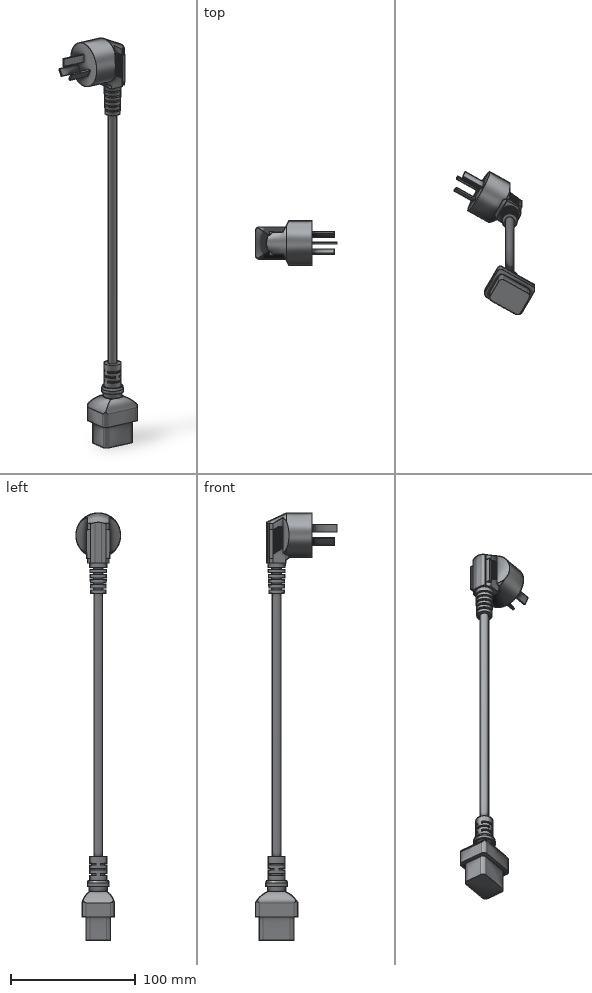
import cadquery as cq
import math

TOTAL_HEIGHT = 343.0
CABLE_DIAMETER = 7.1

BLOCK_X = 28.0
BLOCK_Y = 20.0
FLANGE_X = 34.0
FLANGE_Y = 26.0
CORNER_RADIUS = 3.2
BLOCK_TOP = 18.8
FLANGE_TOP = 28.3
DOME_TOP = 39.3
DOME_TOP_WIDTH = 13.5
DOME_EDGE_RISE = 1.8
DOME_BULGE = 0.8
NECK_DIAMETER = 15.0
COLLAR_DIAMETER = 17.6
COLLAR_STEP_DIAMETER = 16.2
COLLAR_BOTTOM = 43.3
COLLAR_TOP = 46.0
COLLAR_STEP_TOP = 48.0
CONNECTOR_BOOT_DIAMETER = 13.8
CONNECTOR_TOP = 67.3

GROOVE_PITCH = 4.1
GROOVE_WIDTH = 1.4
GROOVE_CLEARANCE = 1.0
CONNECTOR_GROOVE_DEPTH = 1.6
BRIDGE_WIDTH = 4.0
CONNECTOR_GROOVE_COUNT = 3
CONNECTOR_FIRST_GROOVE = CONNECTOR_TOP - 14.4

HEAD_RADIUS = 18.0
HEAD_Z = TOTAL_HEIGHT - HEAD_RADIUS
HEAD_FACE_X = 28.5
HEAD_CONE_X = 8.0
BACK_X = -8.0
BACK_RADIUS = 10.5
SHOULDER_OUTER_X = 9.9
SHOULDER_INNER_X = 5.1

SPINE_FLAT_HALF_WIDTH = 2.6
SPINE_HALF_WIDTH = 6.2
SPINE_EDGE = 0.9
RIB_BACK_X = -5.8
RIB_FRONT_X = -3.1
RIB_HALF_WIDTH = 9.4
RIB_BOTTOM = 306.5
RIB_TOP = 329.5
GRIP_HALF_WIDTH = 8.8
GRIP_BOTTOM = 302.7
FOOT_FRONT_X = 7.4
FOOT_FRONT_TOP = 305.0
FOOT_HEAD_X = 10.0
FOOT_HEAD_Z = 314.0
FOOT_CORNER_RADIUS = 3.0

PANEL_BACK_X = -2.6
PANEL_BACK_BOTTOM = 310.0
PANEL_BACK_TOP = 329.5
PANEL_PEAK_X = 1.5
PANEL_FRONT_BOTTOM = 314.8
PANEL_FRONT_TOP = 332.0
RIDGE_PITCH = 1.0
RIDGE_GROOVE_WIDTH = 0.5
RIDGE_DEPTH = 0.4

PLUG_BOOT_TOP_DIAMETER = 14.0
PLUG_BOOT_END_DIAMETER = 12.2
PLUG_BOOT_BOTTOM = 278.3
PLUG_GROOVE_COUNT = 5
PLUG_GROOVE_ROOT_DIAMETER = 8.0
PLUG_FIRST_GROOVE = 282.0

PIN_WIDTH = 6.3
PIN_THICKNESS = 1.6
EARTH_PIN_TIP_X = 48.5
EARTH_PIN_Z = 330.6
POWER_PIN_TIP_X = 46.4
POWER_PIN_Y = 6.9
POWER_PIN_Z = 320.0
POWER_PIN_TILT = 30.0


def rounded_block(size_x, size_y, bottom, top):
    block = cq.Workplane("XY").workplane(offset=bottom).rect(size_x, size_y).extrude(top - bottom)
    return block.edges("|Z").fillet(CORNER_RADIUS)


def dome_prism(plane, width, depth):
    """Prism with bulging flanks that narrow from the flange to the neck."""
    half = width / 2
    half_top = DOME_TOP_WIDTH / 2
    edge_z = FLANGE_TOP + DOME_EDGE_RISE
    middle_half = (half + half_top) / 2 + DOME_BULGE
    middle_z = (edge_z + DOME_TOP) / 2 + DOME_BULGE
    return (
        cq.Workplane(plane)
        .moveTo(-half, FLANGE_TOP)
        .lineTo(half, FLANGE_TOP)
        .lineTo(half, edge_z)
        .threePointArc((middle_half, middle_z), (half_top, DOME_TOP))
        .lineTo(-half_top, DOME_TOP)
        .threePointArc((-middle_half, middle_z), (-half, edge_z))
        .close()
        .extrude(depth / 2, both=True)
    )


def ring_groove(z, boot_radius, root_radius):
    """Ring centred at z that cuts a boot down to the root radius."""
    return (
        cq.Workplane("XY")
        .workplane(offset=z - GROOVE_WIDTH / 2)
        .circle(boot_radius + GROOVE_CLEARANCE)
        .circle(root_radius)
        .extrude(GROOVE_WIDTH)
    )


def bridged_groove(z, bridge_along_x):
    """Connector groove at z, left uncut by a bridge on two opposite sides."""
    boot_radius = CONNECTOR_BOOT_DIAMETER / 2
    length = 2 * (boot_radius + GROOVE_CLEARANCE)
    bridge_size = (length, BRIDGE_WIDTH) if bridge_along_x else (BRIDGE_WIDTH, length)
    bridge = cq.Workplane("XY").box(*bridge_size, GROOVE_WIDTH).translate((0, 0, z))
    return ring_groove(z, boot_radius, boot_radius - CONNECTOR_GROOVE_DEPTH).cut(bridge)


def make_connector():
    block = rounded_block(BLOCK_X, BLOCK_Y, 0, BLOCK_TOP)
    flange = rounded_block(FLANGE_X, FLANGE_Y, BLOCK_TOP, FLANGE_TOP)
    dome = (
        dome_prism("XZ", FLANGE_X, FLANGE_Y)
        .intersect(dome_prism("YZ", FLANGE_Y, FLANGE_X))
        .intersect(rounded_block(FLANGE_X, FLANGE_Y, FLANGE_TOP, DOME_TOP))
    )
    stem = (
        cq.Workplane("XZ")
        .moveTo(0, FLANGE_TOP)
        .lineTo(DOME_TOP_WIDTH / 2, FLANGE_TOP)
        .lineTo(DOME_TOP_WIDTH / 2, DOME_TOP)
        .lineTo(NECK_DIAMETER / 2, DOME_TOP)
        .lineTo(NECK_DIAMETER / 2, COLLAR_BOTTOM)
        .lineTo(COLLAR_DIAMETER / 2, COLLAR_BOTTOM)
        .lineTo(COLLAR_DIAMETER / 2, COLLAR_TOP)
        .lineTo(COLLAR_STEP_DIAMETER / 2, COLLAR_STEP_TOP)
        .lineTo(CONNECTOR_BOOT_DIAMETER / 2, COLLAR_STEP_TOP)
        .lineTo(CONNECTOR_BOOT_DIAMETER / 2, CONNECTOR_TOP)
        .lineTo(0, CONNECTOR_TOP)
        .close()
        .revolve(360, (0, 0, 0), (0, 1, 0))
    )
    connector = block.union(flange).union(dome).union(stem)
    for index in range(CONNECTOR_GROOVE_COUNT):
        z = CONNECTOR_FIRST_GROOVE + index * GROOVE_PITCH
        connector = connector.cut(bridged_groove(z, index % 2 == 0))
    return connector


def make_cable():
    return (
        cq.Workplane("XY")
        .workplane(offset=CONNECTOR_TOP)
        .circle(CABLE_DIAMETER / 2)
        .extrude(PLUG_BOOT_BOTTOM - CONNECTOR_TOP)
    )


def mirrored_plan(side_points, bottom, top):
    """Prism along Z whose plan has the given +Y side points and their mirror image."""
    mirrored = [(x, -y) for x, y in reversed(side_points)]
    return (
        cq.Workplane("XY")
        .workplane(offset=bottom)
        .polyline(side_points + mirrored)
        .close()
        .extrude(top - bottom)
    )


def grip_plan():
    """+Y side of the grip in plan: faceted spine, then a flat flank up to the shoulder."""
    return [
        (BACK_X, SPINE_FLAT_HALF_WIDTH),
        (BACK_X + SPINE_EDGE, SPINE_HALF_WIDTH),
        (RIB_BACK_X, SPINE_HALF_WIDTH),
        (RIB_FRONT_X, GRIP_HALF_WIDTH),
        (SHOULDER_INNER_X, GRIP_HALF_WIDTH),
    ]


def plug_head():
    """Round head and its cone, with flat slanted shoulders cut down to the grip."""
    turned = (
        cq.Workplane("XZ")
        .moveTo(BACK_X, HEAD_Z)
        .lineTo(BACK_X, HEAD_Z + BACK_RADIUS)
        .lineTo(HEAD_CONE_X, TOTAL_HEIGHT)
        .lineTo(HEAD_FACE_X, TOTAL_HEIGHT)
        .lineTo(HEAD_FACE_X, HEAD_Z)
        .close()
        .revolve(360, (0, HEAD_Z, 0), (1, HEAD_Z, 0))
    )
    shoulders = [(SHOULDER_OUTER_X, HEAD_RADIUS), (HEAD_FACE_X, HEAD_RADIUS)]
    plan = mirrored_plan(grip_plan() + shoulders, HEAD_Z - HEAD_RADIUS, TOTAL_HEIGHT)
    return turned.intersect(plan)


def plug_grip():
    handle = mirrored_plan(grip_plan(), GRIP_BOTTOM, HEAD_Z)
    rib_size = (RIB_FRONT_X - RIB_BACK_X, 2 * RIB_HALF_WIDTH, RIB_TOP - RIB_BOTTOM)
    ribs = (
        cq.Workplane("XY")
        .box(*rib_size, centered=(False, True, False))
        .translate((RIB_BACK_X, 0, RIB_BOTTOM))
    )
    foot = (
        cq.Workplane("XZ")
        .moveTo(RIB_FRONT_X, GRIP_BOTTOM)
        .lineTo(FOOT_FRONT_X, GRIP_BOTTOM)
        .lineTo(FOOT_FRONT_X, FOOT_FRONT_TOP)
        .lineTo(FOOT_HEAD_X, HEAD_Z - HEAD_RADIUS)
        .lineTo(FOOT_HEAD_X, FOOT_HEAD_Z)
        .lineTo(RIB_FRONT_X, FOOT_HEAD_Z)
        .close()
        .extrude(GRIP_HALF_WIDTH, both=True)
    )
    rounded_plan = (
        cq.Workplane("XY")
        .workplane(offset=GRIP_BOTTOM)
        .rect(2 * FOOT_HEAD_X, 2 * GRIP_HALF_WIDTH)
        .extrude(FOOT_HEAD_Z - GRIP_BOTTOM)
        .edges("|Z and >X")
        .fillet(FOOT_CORNER_RADIUS)
    )
    return handle.union(ribs).union(foot.intersect(rounded_plan))


def ridge_grooves():
    """Grooves between the finger ridges, on both flanks."""
    panel = (
        cq.Workplane("XZ")
        .moveTo(PANEL_BACK_X, PANEL_BACK_BOTTOM)
        .lineTo(SHOULDER_INNER_X, PANEL_FRONT_BOTTOM)
        .lineTo(SHOULDER_INNER_X, PANEL_FRONT_TOP)
        .lineTo(PANEL_PEAK_X, PANEL_FRONT_TOP)
        .lineTo(PANEL_BACK_X, PANEL_BACK_TOP)
        .close()
        .extrude(GRIP_HALF_WIDTH, both=True)
    )
    groove_count = math.floor((SHOULDER_INNER_X - PANEL_BACK_X) / RIDGE_PITCH)
    height = PANEL_FRONT_TOP - PANEL_BACK_BOTTOM
    grooves = cq.Workplane("XY")
    for side in (-1, 1):
        for index in range(groove_count):
            x = PANEL_BACK_X + (index + 0.5) * RIDGE_PITCH
            y = side * (GRIP_HALF_WIDTH - RIDGE_DEPTH / 2)
            groove = cq.Workplane("XY").box(RIDGE_GROOVE_WIDTH, RIDGE_DEPTH, height)
            grooves.add(groove.translate((x, y, PANEL_BACK_BOTTOM + height / 2)))
    return grooves.combine().intersect(panel)


def plug_boot():
    top_radius = PLUG_BOOT_TOP_DIAMETER / 2
    end_radius = PLUG_BOOT_END_DIAMETER / 2
    length = GRIP_BOTTOM - PLUG_BOOT_BOTTOM
    boot = (
        cq.Workplane("XY")
        .workplane(offset=PLUG_BOOT_BOTTOM)
        .circle(end_radius)
        .workplane(offset=length)
        .circle(top_radius)
        .loft()
    )
    for index in range(PLUG_GROOVE_COUNT):
        z = PLUG_FIRST_GROOVE + index * GROOVE_PITCH
        boot = boot.cut(ring_groove(z, top_radius, PLUG_GROOVE_ROOT_DIAMETER / 2))
    return boot


def contact_pin(tip_x, y, z, tilt):
    pin = (
        cq.Workplane("XY")
        .box(tip_x - HEAD_FACE_X, PIN_THICKNESS, PIN_WIDTH, centered=(False, True, True))
        .rotate((0, 0, 0), (1, 0, 0), tilt)
    )
    return pin.translate((HEAD_FACE_X, y, z))


def make_plug():
    plug = plug_head().union(plug_grip()).cut(ridge_grooves()).union(plug_boot())
    plug = plug.union(contact_pin(EARTH_PIN_TIP_X, 0, EARTH_PIN_Z, 0))
    for side in (-1, 1):
        tilt = -side * POWER_PIN_TILT
        plug = plug.union(contact_pin(POWER_PIN_TIP_X, side * POWER_PIN_Y, POWER_PIN_Z, tilt))
    return plug


connector = make_connector()
cable = make_cable()
plug = make_plug()

result = cq.Compound.makeCompound([connector.val(), cable.val(), plug.val()])